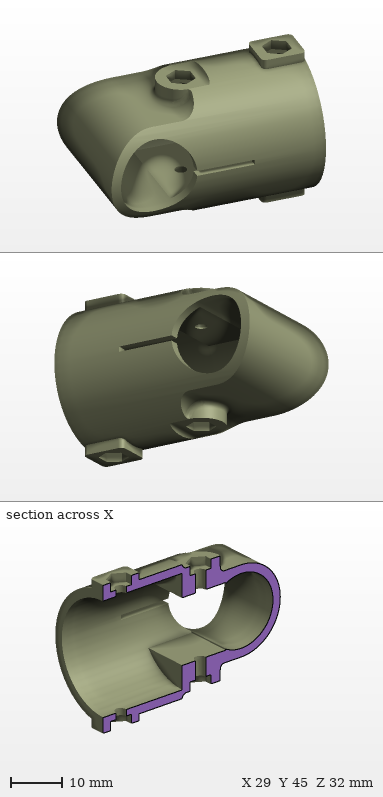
import cadquery as cq


total_length = 45.0
body_diameter = 29.0
nose_radius = 10.0
back_y = total_length - nose_radius

notch_radius = 4.0
notch_arc_y = 6.3

cross_bore_diameter = 16.0
socket_diameter = 25.0
socket_front_y = 15.0
passage_front_y = 4.0
passage_height = 14.5
slot_height = 1.1
slot_end_y = 20.05

boss_y = 10.25
boss_radius = 5.05
boss_fillet = 1.0
boss_top_z = 13.5
boss_flat_end_y = 13.75
boss_cove_radius = 1.12
pad_width = 8.0
pad_length = 9.2
pad_corner_radius = 1.0
pad_top_z = 32.0 / 2
pad_y = back_y - pad_length / 2
screw_diameter = 2.5
nut_corner_diameter = 5.95
boss_nut_depth = 2.0
pad_nut_depth = 2.0

beyond = body_diameter


def y_cylinder(diameter, start_y, end_y):
    """Cylinder along Y, centred on the body axis."""
    return cq.Workplane("XZ", origin=(0, start_y, 0)).circle(diameter / 2).extrude(start_y - end_y)


def both_sides(upper):
    """An upper feature together with its mirror image below."""
    return upper.union(upper.mirror("XY"))


def make_notch():
    """Upper cut with a concave back wall, leaving a round-nosed screw boss standing."""
    arc_center_z = nose_radius + notch_radius
    notch = (
        cq.Workplane("YZ", origin=(-beyond, 0, 0))
        .moveTo(-beyond, nose_radius)
        .lineTo(notch_arc_y, nose_radius)
        .radiusArc((notch_arc_y + notch_radius, arc_center_z), -notch_radius)
        .lineTo(notch_arc_y + notch_radius, beyond)
        .lineTo(-beyond, beyond)
        .close()
        .extrude(2 * beyond)
    )
    boss = cq.Workplane("XY", origin=(0, boss_y, 0)).circle(boss_radius).extrude(2 * beyond)
    notch = notch.cut(boss)
    foot = cq.selectors.BoxSelector(
        (-boss_radius - boss_fillet, boss_y - boss_radius - boss_fillet, nose_radius - boss_fillet),
        (boss_radius + boss_fillet, boss_y + boss_radius, arc_center_z - boss_fillet / 2),
    )
    return notch.edges(foot).edges("not |X").fillet(boss_fillet)


def make_boss_flat():
    """Cut that levels the boss top and sweeps back up to the round body in a cove."""
    cove_end_y = boss_flat_end_y + boss_cove_radius
    cove_end_z = boss_top_z + boss_cove_radius
    return (
        cq.Workplane("YZ", origin=(-boss_radius, 0, 0))
        .moveTo(0, boss_top_z)
        .lineTo(boss_flat_end_y, boss_top_z)
        .radiusArc((cove_end_y, cove_end_z), -boss_cove_radius)
        .lineTo(0, cove_end_z)
        .close()
        .extrude(2 * boss_radius)
    )


def make_pad():
    """Rounded rectangular screw pad at the back end."""
    return (
        cq.Workplane("XY", origin=(0, pad_y, 0))
        .rect(pad_width, pad_length)
        .extrude(pad_top_z)
        .edges("|Z")
        .fillet(pad_corner_radius)
    )


def make_nut_pocket(center_y, top_z, depth):
    """Hexagonal pocket sunk from a screw point's top face."""
    return (
        cq.Workplane("XY", origin=(0, center_y, top_z - depth))
        .polygon(6, nut_corner_diameter)
        .extrude(depth)
    )


def make_nose_envelope():
    """Full-height block whose front end is rounded about the cross bore."""
    block = cq.Workplane("XY").box(2 * beyond, back_y, 2 * beyond, centered=(True, False, True))
    nose = cq.Workplane("YZ").circle(nose_radius).extrude(beyond, both=True)
    return block.union(nose)


body = y_cylinder(body_diameter, -nose_radius, back_y)
body = body.intersect(make_nose_envelope())
body = body.cut(both_sides(make_notch()))
body = body.cut(both_sides(make_boss_flat()))
body = body.union(both_sides(make_pad()))

socket = y_cylinder(socket_diameter, socket_front_y, back_y)
passage = y_cylinder(socket_diameter, passage_front_y, socket_front_y).intersect(
    cq.Workplane("XY").box(beyond, 2 * beyond, passage_height)
)
body = body.cut(socket).cut(passage)

cross_bore = cq.Workplane("YZ").circle(cross_bore_diameter / 2).extrude(beyond, both=True)
slot = cq.Workplane("XY").box(2 * beyond, slot_end_y, slot_height, centered=(True, False, True))
body = body.cut(cross_bore).cut(slot)

for center_y, top_z, nut_depth in (
    (boss_y, boss_top_z, boss_nut_depth),
    (pad_y, pad_top_z, pad_nut_depth),
):
    screw_hole = (
        cq.Workplane("XY", origin=(0, center_y, 0)).circle(screw_diameter / 2).extrude(beyond, both=True)
    )
    body = body.cut(screw_hole)
    body = body.cut(both_sides(make_nut_pocket(center_y, top_z, nut_depth)))

result = body